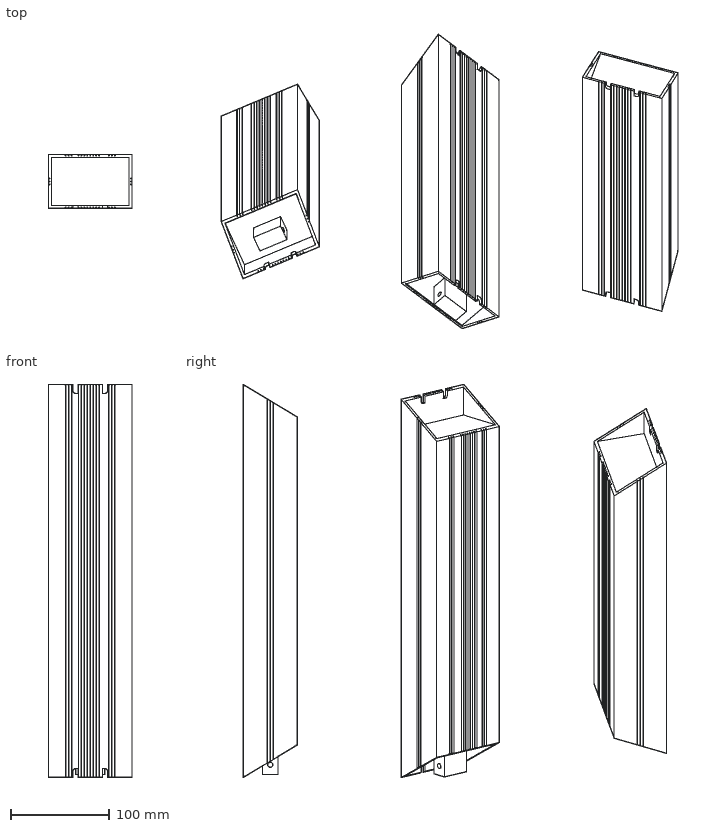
import cadquery as cq
import math

width = 85.0
depth = 55.0
height = 400.0
wall = 3.0
miter_angle = 31.0
miter_rise = depth * math.tan(math.radians(miter_angle))
cavity_width = width - 2 * wall
cavity_depth = depth - 2 * wall

slot_pitch = 3.0
slot_width = 0.4
slot_depth = 1.5
middle_slot_first = -12.0
middle_slot_count = 8
outer_slot_first = 19.0
outer_slot_count = 3

notch_width = 5.0
notch_offset = 15.0
notch_length = 9.0
notch_corner_radius = 2.5

core_bottom = miter_rise
core_top = height - miter_rise + wall * math.tan(math.radians(miter_angle))
lug_width = 30.0
lug_depth = 16.0
lug_bottom = 3.0
lug_hole_diameter = 5.0
lug_hole_height = 13.0


def block(size_x, size_y, bottom, top):
    """Upright block centred on the Z axis."""
    return (
        cq.Workplane("XY")
        .workplane(offset=bottom)
        .rect(size_x, size_y)
        .extrude(top - bottom)
    )


def miter_envelope():
    """Trapezoid through the whole width that trims both ends of the tube."""
    front = -depth / 2
    back = depth / 2
    outline = [(front, 0), (back, miter_rise), (back, height - miter_rise), (front, height)]
    return cq.Workplane("YZ").polyline(outline).close().extrude(width / 2, both=True)


def broad_face_slots():
    """Slots in the front and back faces: a middle group and an outer group on either side."""
    middle = [middle_slot_first + slot_pitch * i for i in range(middle_slot_count)]
    outer = [outer_slot_first + slot_pitch * i for i in range(outer_slot_count)]
    positions = middle + outer + [-x for x in outer]
    places = [(x, y) for x in positions for y in (-depth / 2, depth / 2)]
    return (
        cq.Workplane("XY")
        .pushPoints(places)
        .slot2D(2 * slot_depth, slot_width, 90)
        .extrude(height)
    )


def narrow_face_slots():
    """Three slots along the middle of each narrow face."""
    places = [(x, slot_pitch * i) for x in (-width / 2, width / 2) for i in (-1, 0, 1)]
    return (
        cq.Workplane("XY")
        .pushPoints(places)
        .slot2D(2 * slot_depth, slot_width)
        .extrude(height)
    )


def end_notches():
    """Cutters for the front wall, square on the inner side and rounded on the outer bottom corner."""
    cutter = (
        cq.Workplane("XY")
        .box(notch_width, 2 * wall, 2 * notch_length)
        .edges("|Y and >X")
        .fillet(notch_corner_radius)
        .translate((notch_offset, -depth / 2, 0))
    )
    lower_pair = cutter.union(cutter.mirror("YZ"))
    return lower_pair.union(lower_pair.translate((0, 0, height)))


def make_tube():
    tube = block(width, depth, 0, height).cut(block(cavity_width, cavity_depth, 0, height))
    tube = tube.intersect(miter_envelope())
    tube = tube.cut(broad_face_slots()).cut(narrow_face_slots())
    return tube.cut(end_notches())


def make_lug():
    lug = block(lug_width, lug_depth, lug_bottom, core_bottom)
    hole = (
        cq.Workplane("YZ")
        .center(0, lug_hole_height)
        .circle(lug_hole_diameter / 2)
        .extrude(lug_width, both=True)
    )
    return lug.cut(hole)


core = block(cavity_width, cavity_depth, core_bottom, core_top)
result = make_tube().union(core).union(make_lug())